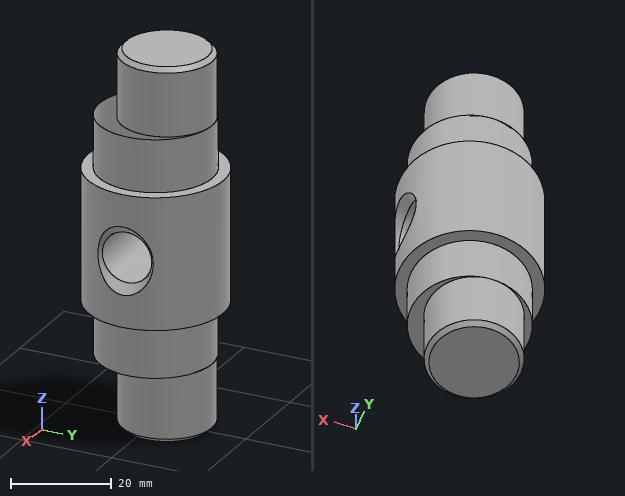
import cadquery as cq

total_length = 82.0
body_diameter = 30.0
body_length = 29.0
collar_diameter = 25.0
pin_diameter = 20.0
pin_length = 14.9
pin_chamfer = 1.0
hole_diameter = 11.0
countersink_depth = 2.0

pin_offset = (collar_diameter - pin_diameter) / 2
collars_span = total_length - 2 * pin_length


def centered_cylinder(diameter, length, y=0.0):
    """Vertical cylinder centred at mid-height."""
    return cq.Workplane("XY").center(0, y).circle(diameter / 2).extrude(length / 2, both=True)


def countersink(side):
    """45 degree cone opening out to the body radius on the given X side."""
    hole_radius = hole_diameter / 2
    cone = cq.Solid.makeCone(
        hole_radius + countersink_depth,
        hole_radius,
        countersink_depth,
        pnt=cq.Vector(side * body_diameter / 2, 0, 0),
        dir=cq.Vector(-side, 0, 0),
    )
    return cq.Workplane(obj=cone)


pins = centered_cylinder(pin_diameter, total_length, pin_offset)
pins = pins.faces("<Z or >Z").chamfer(pin_chamfer)
collars = centered_cylinder(collar_diameter, collars_span)
body = centered_cylinder(body_diameter, body_length)
shaft = body.union(collars).union(pins)

cross_hole = cq.Workplane("YZ").circle(hole_diameter / 2).extrude(body_diameter, both=True)
result = shaft.cut(cross_hole)
for side in (-1, 1):
    result = result.cut(countersink(side))